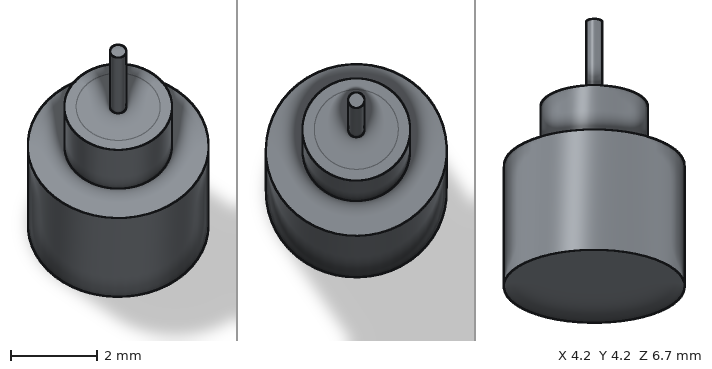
import cadquery as cq

body_diameter = 4.2
body_height = 3.05
collar_diameter = 2.5
collar_height = 1.5
insulator_diameter = 1.95
pin_diameter = 0.38
total_height = 6.7

collar_top = body_height + collar_height
pin_length = total_height - collar_top


def cylinder(diameter, base_z, height):
    """Upright cylinder centred on the Z axis."""
    return cq.Workplane("XY").workplane(offset=base_z).circle(diameter / 2).extrude(height)


def make_shell():
    """Wide body with the narrower collar standing on it."""
    body = cylinder(body_diameter, 0, body_height)
    collar = cylinder(collar_diameter, body_height, collar_height)
    return body.union(collar)


def make_insulator():
    """Insulator filling the collar bore, flush with the collar top."""
    return cylinder(insulator_diameter, body_height, collar_height)


def make_pin():
    """Contact pin standing on the insulator."""
    return cylinder(pin_diameter, collar_top, pin_length)


result = make_shell().union(make_insulator(), clean=False).union(make_pin(), clean=False)